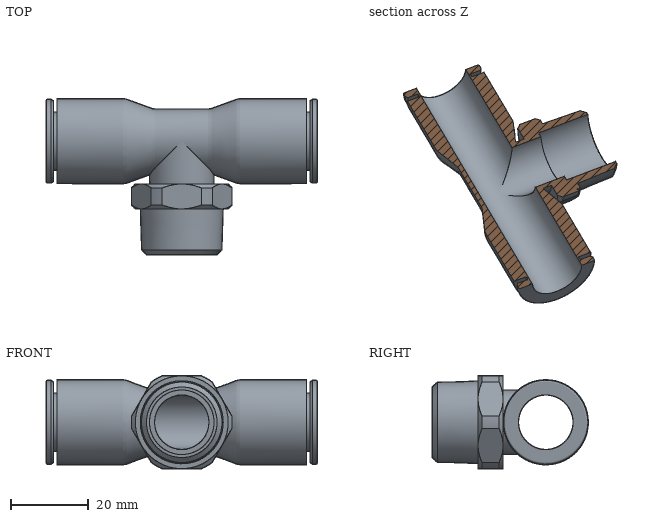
import cadquery as cq
import math

overall_length = 70.0
half_length = overall_length / 2
bore_radius = 7.0
body_radius = 11.0
neck_radius = 8.3
neck_half_length = 7.3
cone_angle = 20.0
cone_blend_radius = 2.8

collar_radius = 10.85
collar_width = 1.95
collar_front_fillet = 0.5
collar_back_chamfer_length = 0.6
collar_back_chamfer_depth = 0.5
groove_width = 0.85
groove_radius = 7.55
sleeve_overlap = 0.7

branch_end = 29.3
hex_start = body_radius
hex_width = 6.5
hex_across_flats = 24.0
hex_corner_radius = 13.0
hex_chamfer = 1.05
thread_radius = 10.7
thread_taper = 1 / 16
thread_chamfer_length = 1.3
thread_tip_radius = 9.1
thread_bore_radius = 8.3
thread_bore_depth = 14.0

hex_end = hex_start + hex_width


def cylinder_along_run(radius, start, end):
    """Solid cylinder on the X axis from X = start to X = end."""
    return cq.Workplane("YZ", origin=(start, 0, 0)).circle(radius).extrude(end - start)


def cylinder_along_branch(radius, start, end):
    """Solid cylinder on the Y axis, from start to end measured towards -Y."""
    return cq.Workplane("XZ", origin=(0, -start, 0)).circle(radius).extrude(end - start)


def run_body():
    """Neck widening through blended cones into the two tube sockets."""
    body_end = half_length - collar_width - groove_width
    cone_length = (body_radius - neck_radius) / math.tan(math.radians(cone_angle))
    cone_end = neck_half_length + cone_length
    profile = [
        (-body_end, 0),
        (-body_end, body_radius),
        (-cone_end, body_radius),
        (-neck_half_length, neck_radius),
        (neck_half_length, neck_radius),
        (cone_end, body_radius),
        (body_end, body_radius),
        (body_end, 0),
    ]
    body = cq.Workplane("XY").polyline(profile).close().revolve(360, (0, 0, 0), (1, 0, 0))
    rim_reach = cone_end + 0.7
    around_cones = cq.selectors.BoxSelector((-rim_reach,) * 3, (rim_reach,) * 3, boundingbox=True)
    return body.edges("%CIRCLE").edges(around_cones).fillet(cone_blend_radius)


def release_collar(side):
    """Collar, rounded in front and chamfered behind, on a thinner sleeve; side is +1 or -1 along X."""
    collar_back = half_length - collar_width
    sleeve_start = collar_back - groove_width - sleeve_overlap
    profile = [
        (sleeve_start, 0),
        (sleeve_start, groove_radius),
        (collar_back, groove_radius),
        (collar_back, collar_radius - collar_back_chamfer_depth),
        (collar_back + collar_back_chamfer_length, collar_radius),
        (half_length, collar_radius),
        (half_length, 0),
    ]
    collar = cq.Workplane("XY").polyline(profile).close().revolve(360, (0, 0, 0), (1, 0, 0))
    collar = collar.faces(">X").edges().fillet(collar_front_fillet)
    return collar if side > 0 else collar.mirror("YZ")


def hexagon():
    """Wrench hexagon with turned corners, chamfered on both faces."""
    corner_diameter = hex_across_flats / math.cos(math.pi / 6)
    prism = cq.Workplane("XZ", origin=(0, -hex_start, 0)).polygon(6, corner_diameter).extrude(hex_width)
    turned_blank = cylinder_along_branch(hex_corner_radius, hex_start, hex_end)
    return prism.intersect(turned_blank.edges("%CIRCLE").chamfer(hex_chamfer))


def thread():
    """Tapered thread envelope with a chamfered tip."""
    chamfer_start = branch_end - thread_chamfer_length
    end_radius = thread_radius - (chamfer_start - hex_end) * thread_taper / 2
    profile = [
        (0, -hex_start),
        (thread_radius, -hex_start),
        (thread_radius, -hex_end),
        (end_radius, -chamfer_start),
        (thread_tip_radius, -branch_end),
        (0, -branch_end),
    ]
    return cq.Workplane("XY").polyline(profile).close().revolve(360, (0, 0, 0), (0, 1, 0))


result = run_body()
for side in (-1, 1):
    result = result.union(release_collar(side))

result = result.union(cylinder_along_branch(neck_radius, 0, hex_end))
result = result.union(hexagon()).union(thread())

result = result.cut(cylinder_along_run(bore_radius, -half_length, half_length))
result = result.cut(cylinder_along_branch(bore_radius, 0, branch_end))
result = result.cut(cylinder_along_branch(thread_bore_radius, branch_end - thread_bore_depth, branch_end))